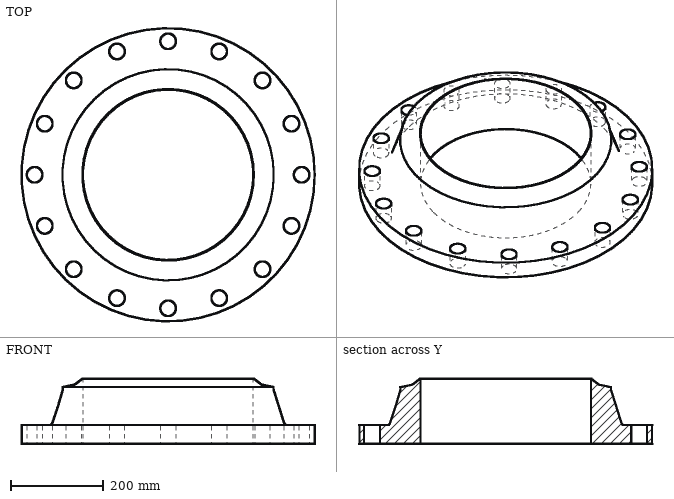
import cadquery as cq

FLANGE_DIAMETER = 635.0
FLANGE_THICKNESS = 41.3

BOLT_COUNT = 16
BOLT_CIRCLE_DIAMETER = 577.85
BOLT_HOLE_DIAMETER = 33.3

BORE_DIAMETER = 368.3
HUB_BASE_DIAMETER = 505.0
HUB_TOP_DIAMETER = 457.2
BEVEL_BASE_DIAMETER = 404.0
WELD_LAND_WIDTH = 1.6
HUB_FILLET_RADIUS = 5.0
TOTAL_HEIGHT = 141.3
BEVEL_HEIGHT = 12.5
SHOULDER_HEIGHT = 5.5
COLLAR_HEIGHT = 6.0

bevel_bottom = TOTAL_HEIGHT - BEVEL_HEIGHT
collar_top = bevel_bottom - SHOULDER_HEIGHT
collar_bottom = collar_top - COLLAR_HEIGHT


def make_body():
    """Flange plate and tapered hub, revolved about Z."""
    bore_radius = BORE_DIAMETER / 2
    flange_radius = FLANGE_DIAMETER / 2
    base_radius = HUB_BASE_DIAMETER / 2
    top_radius = HUB_TOP_DIAMETER / 2
    profile = [
        (bore_radius, 0),
        (flange_radius, 0),
        (flange_radius, FLANGE_THICKNESS),
        (base_radius, FLANGE_THICKNESS),
        (top_radius, collar_bottom),
        (top_radius, collar_top),
        (BEVEL_BASE_DIAMETER / 2, bevel_bottom),
        (bore_radius + WELD_LAND_WIDTH, TOTAL_HEIGHT),
        (bore_radius, TOTAL_HEIGHT),
    ]
    return cq.Workplane("XZ").polyline(profile).close().revolve(360, (0, 0), (0, 1))


def circle_at(diameter, height):
    """Selector for the circular edge of the given diameter centred on Z."""
    tolerance = 0.1
    half_side = diameter / 2 + tolerance
    return cq.selectors.BoxSelector(
        (-half_side, -half_side, height - tolerance),
        (half_side, half_side, height + tolerance),
        boundingbox=True,
    )


def round_hub_corners(body):
    """Fillet the inside corners at the hub base and at the foot of the weld bevel."""
    hub_base = circle_at(HUB_BASE_DIAMETER, FLANGE_THICKNESS)
    bevel_foot = circle_at(BEVEL_BASE_DIAMETER, bevel_bottom)
    return body.edges(hub_base + bevel_foot).fillet(HUB_FILLET_RADIUS)


def make_bolt_holes():
    """Through-hole cutters, evenly spaced with one on the +X axis."""
    return (
        cq.Workplane("XY")
        .polarArray(BOLT_CIRCLE_DIAMETER / 2, 0, 360, BOLT_COUNT)
        .circle(BOLT_HOLE_DIAMETER / 2)
        .extrude(FLANGE_THICKNESS)
    )


result = round_hub_corners(make_body()).cut(make_bolt_holes())